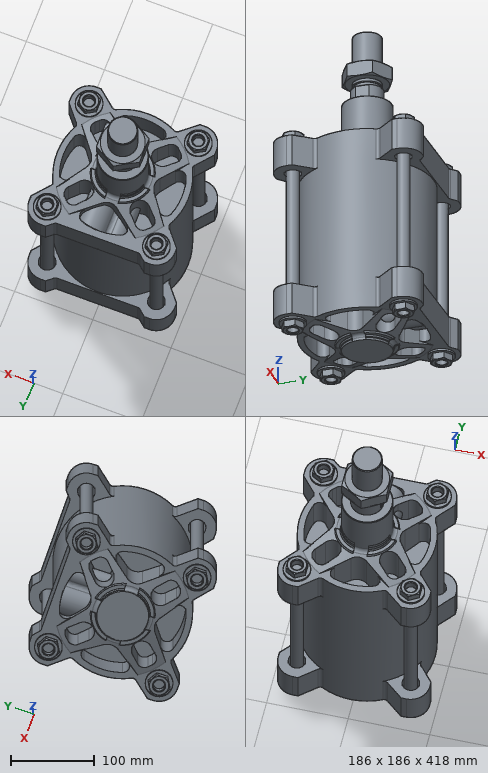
import cadquery as cq
import math

total_height = 418.0
foot_height = 17.0
cap_thickness = 40.0
barrel_length = 158.0
collar_top = 326.0
lower_joint = foot_height + cap_thickness
upper_joint = lower_joint + barrel_length
upper_face = upper_joint + cap_thickness

barrel_radius = 83.5
cap_half_width = 186.0 / 2
rod_spacing = 70.0
lug_radius = cap_half_width - rod_spacing
lug_flat_end = 63.0
lug_flank_angle = math.radians(40)
lug_flank_length = 37.5
port_face = 85.0
port_side_reach = 59.0
outline_fillet = 5.0

pocket_apex = 36.8
pocket_half_angle = math.radians(53)
pocket_reach = 125.5
pocket_outer_radius = 75.5
pocket_inner_fillet = 16.0
pocket_outer_fillet = 8.5
slot_width = 24.2
slot_outer_end = 74.5
slot_inner_end = 39.0
slot_outer_fillet = 9.0
dome_radius = 80.5
dome_slope = 0.22

collar_radius = 31.0
hub_root_radius = 36.5
hub_root_height = 14.0
hub_root_middle = (32.5, 11.0)
rim_outer_radius = 39.0
rim_top_radius = 37.5
rim_inner_radius = 33.0
rim_height = 11.3
sleeve_radius = 31.8
sleeve_step_height = 13.5
sleeve_chamfer_height = 2.5
upper_sleeve_height = 20.0
gap_width = 17.0
collar_chamfer = 1.0

port_radius = 19.2
port_x = 12.5
port_depth = cap_thickness / 2
valve_radius = 13.5
valve_x = -19.0
valve_depth = 26.0
boss_fillet = 5.0
port_start = 21.0

tie_rod_diameter = 16.0
lug_hole_diameter = 21.0
washer_diameter = 33.0
washer_thickness = 2.5
tie_nut_flats = 24.0
tie_nut_height = 8.8
tie_nut_drop = 1.3
socket_diameter = 14.0
socket_chamfer = 1.05
socket_depth = 10.0
hexagon_face_ratio = 0.97

rod_radius = 20.0
thread_radius = 18.0
undercut_radius = 16.7
undercut_fillet = 1.3
undercut_bottom = 346.5
undercut_top = 351.0
flat_bottom = 331.0
flat_spacing = 36.5
thread_chamfer = 1.05

lock_nut_flats = 55.0
lock_nut_bottom = 355.7
lock_nut_height = 19.2
lock_nut_drop = 1.5

corner_signs = [(-1, -1), (1, -1), (1, 1), (-1, 1)]
corner_points = [(sx * rod_spacing, sy * rod_spacing) for sx, sy in corner_signs]
diagonal_angles = [45, 135, 225, 315]
axis_angles = [0, 90, 180, 270]


def disc(radius, height, base=0.0):
    return cq.Workplane("XY").workplane(offset=base).circle(radius).extrude(height)


def revolved(profile):
    """Solid of revolution about Z from a closed XZ profile."""
    return profile.close().revolve(360, (0, 0, 0), (0, 1, 0))


def hexagon(flats, height, drop, both_ends):
    """Hexagonal prism with corners on Y; the corners drop away by `drop` at its chamfered ends."""
    corner = flats / math.sqrt(3)
    face_radius = hexagon_face_ratio * flats / 2
    bottom_radius = face_radius if both_ends else corner
    prism = cq.Workplane("XY").polygon(6, 2 * corner).extrude(height)
    prism = prism.rotate((0, 0, 0), (0, 0, 1), 30)
    profile = cq.Workplane("XZ").moveTo(0, 0).lineTo(bottom_radius, 0)
    if both_ends:
        profile = profile.lineTo(corner, drop)
    profile = profile.lineTo(corner, height - drop).lineTo(face_radius, height).lineTo(0, height)
    return prism.intersect(revolved(profile))


def lug(angle):
    """One corner of the cap, reaching from the axis to its rounded tip on the diagonal at `angle`."""
    flank_x = lug_flat_end - lug_flank_length * math.cos(lug_flank_angle)
    flank_y = cap_half_width - lug_flank_length * math.sin(lug_flank_angle)
    points = [
        (0, 0),
        (flank_y, flank_x),
        (cap_half_width, lug_flat_end),
        (cap_half_width, cap_half_width),
        (lug_flat_end, cap_half_width),
        (flank_x, flank_y),
    ]
    body = cq.Workplane("XY").polyline(points).close().extrude(cap_thickness)
    tip = cq.selectors.NearestToPointSelector((cap_half_width, cap_half_width, cap_thickness / 2))
    body = body.edges("|Z").edges(tip).fillet(lug_radius)
    return body.rotate((0, 0, 0), (0, 0, 1), angle - 45)


def is_inner_corner(edge):
    """True for the upright edges where a lug meets the round or flat side of the cap."""
    tolerance = 0.05
    center = edge.Center()
    on_barrel = abs(math.hypot(center.x, center.y) - barrel_radius) < tolerance
    on_port_face = abs(center.y - port_face) < tolerance
    return on_barrel or on_port_face


def cap_plate():
    plate = disc(barrel_radius, cap_thickness)
    port_side = cq.Workplane("XY").rect(2 * port_side_reach, port_face, centered=(True, False))
    plate = plate.union(port_side.extrude(cap_thickness))
    for angle in diagonal_angles:
        plate = plate.union(lug(angle))
    return plate.edges("|Z").filter(is_inner_corner).fillet(outline_fillet)


def wedge(height):
    """Open wedge between two ribs, pointing along +X, with its apex rounded."""
    far_x = pocket_apex + pocket_reach * math.cos(pocket_half_angle)
    far_y = pocket_reach * math.sin(pocket_half_angle)
    body = cq.Workplane("XY").polyline([(pocket_apex, 0), (far_x, -far_y), (far_x, far_y)]).close()
    return body.extrude(height).edges("|Z and <X").fillet(pocket_inner_fillet)


def pocket():
    body = wedge(cap_thickness).intersect(disc(pocket_outer_radius, cap_thickness))
    corners = body.edges("|Z").filter(lambda edge: abs(edge.Center().y) > pocket_inner_fillet)
    return corners.fillet(pocket_outer_fillet)


def dome():
    """Low cone on the cap face, cut back to the four diagonal ribs and the hub."""
    height = dome_slope * (dome_radius - hub_root_radius)
    profile = (
        cq.Workplane("XZ").moveTo(0, 0).lineTo(dome_radius, 0).lineTo(hub_root_radius, height)
        .threePointArc(hub_root_middle, (collar_radius, hub_root_height)).lineTo(0, hub_root_height)
    )
    body = revolved(profile)
    for angle in axis_angles:
        body = body.cut(wedge(hub_root_height).rotate((0, 0, 0), (0, 0, 1), angle))
    return body


def hub_ring(sleeve_height):
    """Stepped rim and sleeve round the hub, in four segments."""
    rim_base = dome_slope * (dome_radius - rim_outer_radius)
    profile = cq.Workplane("XZ").polyline([
        (0, 0),
        (rim_outer_radius, 0),
        (rim_outer_radius, rim_base),
        (rim_top_radius, rim_height),
        (rim_inner_radius, rim_height),
        (sleeve_radius, sleeve_step_height),
        (sleeve_radius, sleeve_height - sleeve_chamfer_height),
        (collar_radius, sleeve_height),
        (0, sleeve_height),
    ])
    ring = revolved(profile)
    gap_length = 3 * rim_outer_radius
    for size in [(gap_length, gap_width), (gap_width, gap_length)]:
        ring = ring.cut(cq.Workplane("XY").rect(*size).extrude(sleeve_height))
    return ring


def rib_slot():
    """Slot through a rib, lying along +X: flatter at its outer end, round at its inner end."""
    height = cap_thickness + dome_slope * dome_radius
    end_radius = slot_width / 2
    inner_center = slot_inner_end + end_radius
    slot = cq.Workplane("XY").center(inner_center, 0)
    slot = slot.rect(slot_outer_end - inner_center, slot_width, centered=(False, True)).extrude(height)
    slot = slot.edges("|Z and >X").fillet(slot_outer_fillet)
    return slot.union(disc(end_radius, height).translate((inner_center, 0, 0)))


def port_boss(radius, x, depth):
    """Horizontal boss from the hub to the flat port side."""
    plane = cq.Plane((x, port_start, cap_thickness - depth), (-1, 0, 0), (0, 1, 0))
    return cq.Workplane(plane).circle(radius).extrude(port_face - port_start)


def port_bosses():
    """Port boss and the smaller valve boss beside it, with the groove between them rounded."""
    bosses = port_boss(port_radius, port_x, port_depth)
    bosses = bosses.union(port_boss(valve_radius, valve_x, valve_depth))
    middle_y = (port_start + port_face) / 2
    near_groove = (valve_x + valve_radius, middle_y, cap_thickness - port_depth)
    groove = bosses.edges("|Y").edges(cq.selectors.NearestToPointSelector(near_groove))
    return groove.fillet(boss_fillet)


def end_cap(sleeve_height):
    """End cap with its inner face on Z = 0 and its ribs towards +Z."""
    cap = cap_plate()
    for angle in axis_angles:
        cap = cap.cut(pocket().rotate((0, 0, 0), (0, 0, 1), angle))
    cap = cap.union(dome().translate((0, 0, cap_thickness)))
    cap = cap.union(hub_ring(sleeve_height).translate((0, 0, cap_thickness)))
    for angle in diagonal_angles:
        cap = cap.cut(rib_slot().rotate((0, 0, 0), (0, 0, 1), angle))
    cap = cap.union(port_bosses())
    holes = cq.Workplane("XY").pushPoints(corner_points).circle(lug_hole_diameter / 2).extrude(cap_thickness)
    return cap.cut(holes)


def tie_rod_end():
    """Washer and nut with a socket, standing on Z = 0."""
    top = washer_thickness + tie_nut_height
    nut = hexagon(tie_nut_flats, tie_nut_height, tie_nut_drop, both_ends=False)
    end = disc(washer_diameter / 2, washer_thickness).union(nut.translate((0, 0, washer_thickness)))
    end = end.cut(disc(socket_diameter / 2, socket_depth, top - socket_depth))
    countersink = cq.Solid.makeCone(
        socket_diameter / 2, socket_diameter / 2 + socket_chamfer, socket_chamfer,
        cq.Vector(0, 0, top - socket_chamfer),
    )
    return end.cut(cq.Workplane(countersink))


def cylinder_housing():
    """Barrel, both end caps, collar and tie rods, with a bore for the piston rod."""
    body = disc(barrel_radius, barrel_length, lower_joint)
    body = body.union(end_cap(upper_sleeve_height).translate((0, 0, upper_joint)))
    body = body.union(end_cap(foot_height).mirror("XY").translate((0, 0, lower_joint)))
    collar = disc(collar_radius, collar_top - upper_joint, upper_joint)
    body = body.union(collar.faces(">Z").edges().chamfer(collar_chamfer))
    body = body.union(disc(collar_radius, lower_joint))
    rod_end = tie_rod_end()
    for x, y in corner_points:
        tie_rod = disc(tie_rod_diameter / 2, upper_face - foot_height, foot_height)
        tie_rod = tie_rod.union(rod_end.translate((0, 0, upper_face)))
        tie_rod = tie_rod.union(rod_end.mirror("XY").translate((0, 0, foot_height)))
        body = body.union(tie_rod.translate((x, y, 0)))
    return body.cut(disc(rod_radius, collar_top - upper_joint, upper_joint))


def piston_rod():
    rod = disc(rod_radius, undercut_bottom - upper_joint, upper_joint)
    flat_height = undercut_bottom - flat_bottom
    jaws = cq.Workplane("XY").workplane(offset=flat_bottom).rect(flat_spacing, 4 * rod_radius)
    flats = disc(2 * rod_radius, flat_height, flat_bottom).cut(jaws.extrude(flat_height))
    rod = rod.cut(flats)
    fillet_middle = undercut_fillet * (1 - math.sqrt(0.5))
    profile = (
        cq.Workplane("XZ").moveTo(0, undercut_bottom)
        .lineTo(undercut_radius + undercut_fillet, undercut_bottom)
        .threePointArc(
            (undercut_radius + fillet_middle, undercut_bottom + fillet_middle),
            (undercut_radius, undercut_bottom + undercut_fillet),
        )
        .lineTo(undercut_radius, undercut_top).lineTo(0, undercut_top)
    )
    rod = rod.union(revolved(profile))
    thread = disc(thread_radius, total_height - undercut_top, undercut_top)
    return rod.union(thread.faces("|Z").edges().chamfer(thread_chamfer))


def lock_nut():
    nut = hexagon(lock_nut_flats, lock_nut_height, lock_nut_drop, both_ends=True)
    return nut.cut(disc(thread_radius, lock_nut_height)).translate((0, 0, lock_nut_bottom))


housing = cylinder_housing()
piston = piston_rod()
nut = lock_nut()

result = cq.Compound.makeCompound([housing.val(), piston.val(), nut.val()])